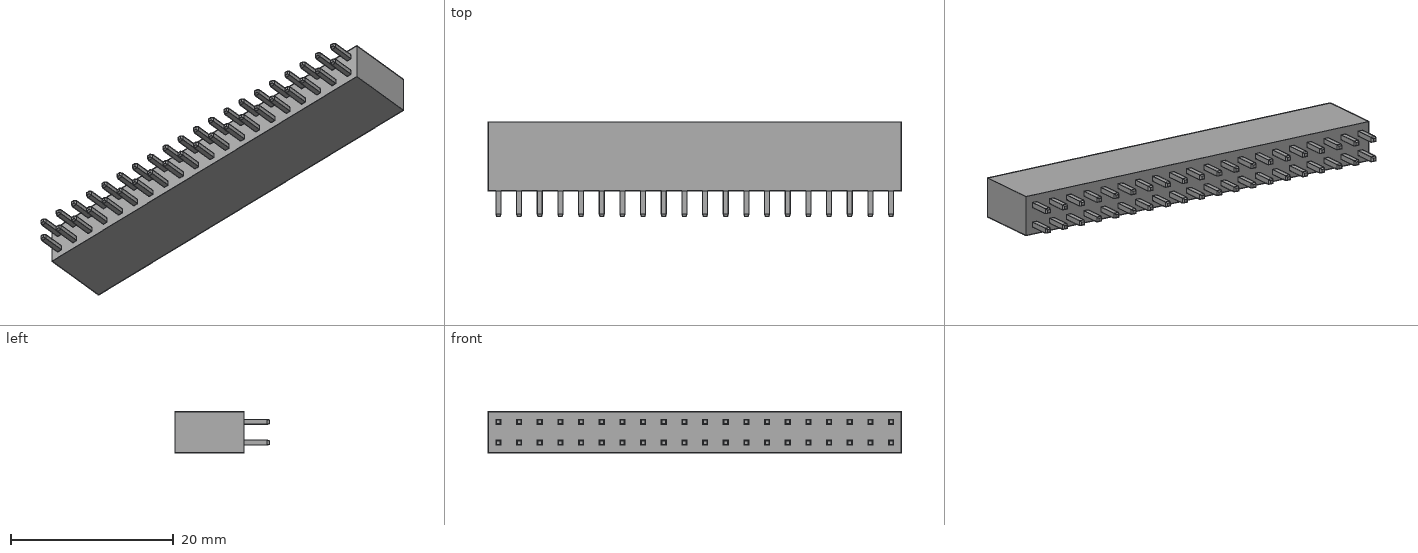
import cadquery as cq

pitch = 2.54
pins_per_row = 20
row_count = 2

housing_length = pins_per_row * pitch
housing_height = row_count * pitch
housing_depth = 8.5

pin_width = 0.64
pin_length = 3.15
tip_length = 0.3
tip_inset = 0.11


def make_housing():
    """Plain block with its pin face on the plane Y = 0."""
    return cq.Workplane("XY").box(
        housing_length, housing_depth, housing_height, centered=(True, False, True)
    )


def make_pins():
    """All pins, starting on the pin face and pointing toward -Y."""
    return (
        cq.Workplane("XZ")
        .rarray(pitch, pitch, pins_per_row, row_count)
        .rect(pin_width, pin_width)
        .extrude(pin_length)
        .faces("<Y")
        .chamfer(tip_length, tip_inset)
    )


result = make_housing().union(make_pins())